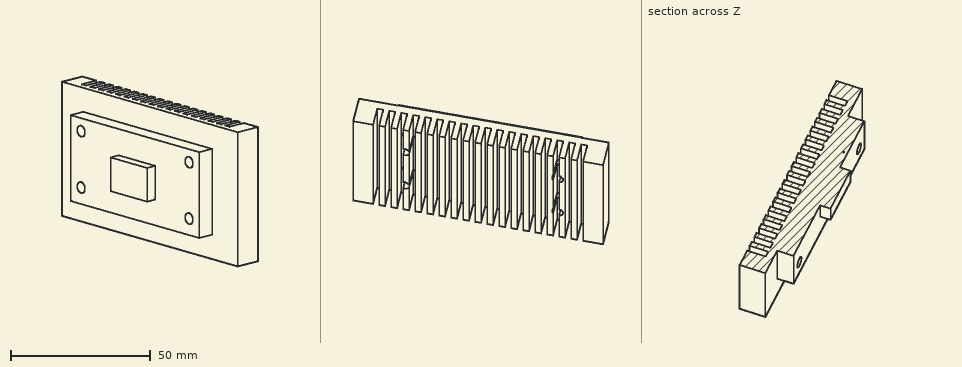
import cadquery as cq

BODY_LENGTH = 91.6
BODY_HEIGHT = 50.0
BODY_THICKNESS = 10.1

SLOT_COUNT = 18
SLOT_WIDTH = 2.2
SLOT_PITCH = 2 * SLOT_WIDTH
SLOT_DEPTH = 7.1

PLATE_LENGTH = 67.05
PLATE_HEIGHT = 32.0
PLATE_THICKNESS = 6.3
PLATE_CENTRE_X = -1.1
PLATE_CENTRE_Z = 0.1

PAD_LENGTH = 19.05
PAD_HEIGHT = 12.55
PAD_THICKNESS = 4.0

HOLE_DIAMETER = 4.0
HOLE_SPACING_X = 56.2
HOLE_SPACING_Z = 21.0
HOLE_CENTRE_X = -1.0
HOLE_CENTRE_Z = 0.7

PLATE_FACE_Y = -PLATE_THICKNESS
SLOT_FLOOR_Y = BODY_THICKNESS - SLOT_DEPTH


def block(length, thickness, height, y_start, centre_x=0.0, centre_z=0.0):
    """Box centred on (centre_x, centre_z) that extends from y_start toward +Y."""
    box = cq.Workplane("XY").box(length, thickness, height, centered=(True, False, True))
    return box.translate((centre_x, y_start, centre_z))


def fin_slots():
    """Row of equally spaced slots, centred on the body."""
    first_x = -SLOT_PITCH * (SLOT_COUNT - 1) / 2
    slots = cq.Workplane("XY")
    for index in range(SLOT_COUNT):
        slot_x = first_x + index * SLOT_PITCH
        slots = slots.add(block(SLOT_WIDTH, SLOT_DEPTH, BODY_HEIGHT, SLOT_FLOOR_Y, slot_x))
    return slots.combine()


def screw_holes():
    """Four cylinders along Y, long enough to pass through plate and body."""
    return (
        cq.Workplane("XZ", origin=(HOLE_CENTRE_X, PLATE_FACE_Y, HOLE_CENTRE_Z))
        .rarray(HOLE_SPACING_X, HOLE_SPACING_Z, 2, 2)
        .circle(HOLE_DIAMETER / 2)
        .extrude(-(PLATE_THICKNESS + BODY_THICKNESS))
    )


body = block(BODY_LENGTH, BODY_THICKNESS, BODY_HEIGHT, 0.0)
plate = block(
    PLATE_LENGTH, PLATE_THICKNESS, PLATE_HEIGHT, PLATE_FACE_Y, PLATE_CENTRE_X, PLATE_CENTRE_Z
)
pad = block(PAD_LENGTH, PAD_THICKNESS, PAD_HEIGHT, PLATE_FACE_Y - PAD_THICKNESS)

result = body.union(plate).union(pad).cut(fin_slots()).cut(screw_holes())